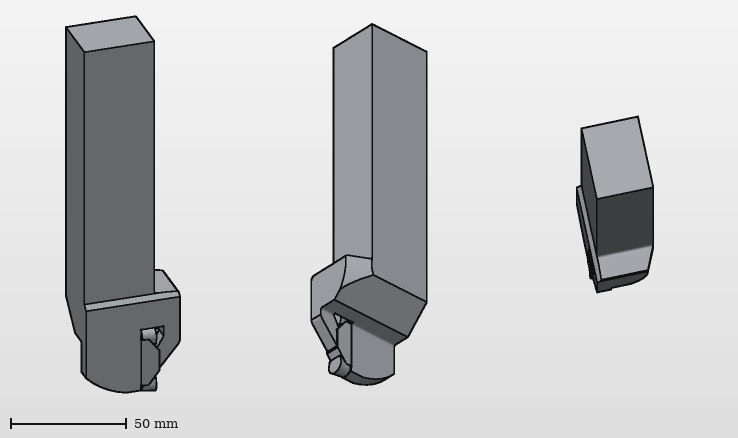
import cadquery as cq
import math


shank_width = 25.0
shank_depth = 32.0
total_height = 170.3

head_depth = 43.0
head_right = 27.2
right_step_z = 45.1
head_top_z = 47.4
head_top_back_z = 47.0
head_top_flat = 2.0
head_bevel_z = 46.5
back_bevel = 0.5
left_bevel = 0.15
root_fillet = 1.0

shoulder_z = 27.2
shoulder_left = 12.2
shoulder_fillet = 1.0

insert_length = 31.4
insert_width = 8.0
insert_center_x = 24.0
body_width = 7.0
seat_y = 25.2
rake_y = shank_depth
body_back_y = 33.5
body_end_z = 4.6
body_end_flat_y = 28.6
body_back_z = 10.9
ear_end_z = 5.2
neck_end_z = 7.4
neck_width = 6.8
relief_angle = 7.0
heel_bevel = 0.6

blade_left = 21.0
blade_bottom_z = 2.3
blade_flat_y = 18.3
blade_arc_mid = (9.1, 5.6)
blade_front_z = 12.4

jaw_tip_z = 11.8
jaw_back_z = 24.0
jaw_bevel_y = 42.4
jaw_bevel_z = 22.5
jaw_overlap = 1.1
jaw_gap_top = (35.5, shoulder_z)

pocket_side_gap = 0.2
pocket_end_gap = 0.5
pocket_left = insert_center_x - insert_width / 2 - pocket_side_gap
pocket_end_z = insert_length + pocket_end_gap

relief_back_x = 4.8
relief_slope = 4.0 / 9.0
relief_tangent_z = 44.0
relief_radius = 26.8
relief_bottom_z = 25.0
relief_reach = 25.0

margin = 5.0


def prism_along_x(profile, x_start, x_end):
    """Extrude a closed YZ profile between two X positions."""
    return profile.extrude(x_end - x_start).translate((x_start, 0, 0))


def make_front_body():
    """Outline of the holder in XZ, extruded over the full head depth."""
    step = head_right - shank_width
    fillet_mid = shoulder_fillet * (1 - math.sqrt(0.5))
    return (
        cq.Workplane("XZ")
        .moveTo(0, total_height)
        .lineTo(0, shoulder_z + shoulder_left)
        .lineTo(shoulder_left, shoulder_z)
        .lineTo(blade_left - shoulder_fillet, shoulder_z)
        .threePointArc(
            (blade_left - fillet_mid, shoulder_z - fillet_mid),
            (blade_left, shoulder_z - shoulder_fillet),
        )
        .lineTo(blade_left, 0)
        .lineTo(head_right, 0)
        .lineTo(head_right, right_step_z)
        .lineTo(shank_width, right_step_z + step)
        .lineTo(shank_width, total_height)
        .close()
        .extrude(-head_depth)
    )


def make_side_body():
    """Outline of the holder in YZ, with the round blade underside."""
    fillet_mid = root_fillet * (1 - math.sqrt(0.5))
    profile = (
        cq.Workplane("YZ")
        .moveTo(0, total_height)
        .lineTo(shank_depth, total_height)
        .lineTo(shank_depth, head_top_z + root_fillet)
        .threePointArc(
            (shank_depth + fillet_mid, head_top_z + fillet_mid),
            (shank_depth + root_fillet, head_top_z),
        )
        .lineTo(shank_depth + head_top_flat, head_top_z)
        .lineTo(head_depth - back_bevel, head_top_back_z)
        .lineTo(head_depth, head_bevel_z)
        .lineTo(head_depth, jaw_back_z)
        .lineTo(jaw_bevel_y, jaw_bevel_z)
        .lineTo(body_back_y, jaw_tip_z)
        .lineTo(seat_y, jaw_tip_z)
        .lineTo(seat_y, blade_bottom_z)
        .lineTo(blade_flat_y, blade_bottom_z)
        .threePointArc(blade_arc_mid, (0, blade_front_z))
        .close()
    )
    return prism_along_x(profile, 0, head_right)


def body_profile_points():
    """Lower half of the insert body in YZ, then its mirror about mid-length."""
    lower = [
        (seat_y, body_end_z),
        (body_end_flat_y, body_end_z),
        (body_back_y, body_back_z),
    ]
    upper = [(y, insert_length - z) for y, z in reversed(lower)]
    return lower + upper


def make_pocket():
    """Space for the insert, with a clear gap behind its upper cutting head."""
    body_slope = (body_back_z - body_end_z) / (body_back_y - body_end_flat_y)
    jaw_apex = (
        body_back_y - jaw_overlap,
        insert_length - body_back_z + jaw_overlap * body_slope,
    )
    outline = [
        (seat_y, jaw_tip_z - margin),
        (body_back_y, jaw_tip_z - margin),
        (body_back_y, insert_length - body_back_z),
        jaw_apex,
        jaw_gap_top,
        (jaw_gap_top[0], pocket_end_z),
        (seat_y, pocket_end_z),
    ]
    profile = cq.Workplane("YZ").polyline(outline).close()
    return prism_along_x(profile, pocket_left, head_right + margin)


def make_left_relief():
    """Slanted cutter: upright at the top, curving inward toward the bottom."""
    def depth_at(z):
        return relief_radius - math.sqrt(relief_radius**2 - (relief_tangent_z - z) ** 2)

    mid_z = (relief_tangent_z + relief_bottom_z) / 2
    outer = -2 * margin
    top_z = head_top_z + 2 * root_fillet
    plane = cq.Plane(
        origin=(relief_back_x + margin * relief_slope, head_depth + margin, 0),
        xDir=(1, -relief_slope, 0),
        normal=(-relief_slope, -1, 0),
    )
    return (
        cq.Workplane(plane)
        .moveTo(outer, top_z)
        .lineTo(left_bevel, top_z)
        .lineTo(left_bevel, head_top_z)
        .lineTo(0, head_bevel_z)
        .lineTo(0, relief_tangent_z)
        .threePointArc(
            (depth_at(mid_z), mid_z),
            (depth_at(relief_bottom_z), relief_bottom_z),
        )
        .lineTo(outer, relief_bottom_z)
        .close()
        .extrude(relief_reach)
    )


def make_holder():
    holder = make_front_body().intersect(make_side_body())
    return holder.cut(make_left_relief()).cut(make_pocket())


def make_cutting_head():
    """Full-radius lower head, tapering from the rake face down to the seat."""
    radius = insert_width / 2
    half_ear = math.sqrt(radius**2 - (ear_end_z - radius) ** 2)
    half_neck = neck_width / 2
    head = (
        cq.Workplane("XZ", origin=(insert_center_x, rake_y, 0))
        .moveTo(-half_ear, ear_end_z)
        .threePointArc((0, 0), (half_ear, ear_end_z))
        .lineTo(half_neck, neck_end_z)
        .lineTo(-half_neck, neck_end_z)
        .close()
        .extrude(rake_y - seat_y, taper=relief_angle)
    )
    return head.faces("<Y").edges("<Z").chamfer(heel_bevel)


def make_insert():
    profile = cq.Workplane("YZ").polyline(body_profile_points()).close()
    body_left = insert_center_x - body_width / 2
    body = prism_along_x(profile, body_left, body_left + body_width)
    lower_head = make_cutting_head()
    upper_head = lower_head.mirror("XY", (0, 0, insert_length / 2))
    return body.union(lower_head).union(upper_head)


holder = make_holder()
insert = make_insert()

result = cq.Compound.makeCompound([holder.solids().val(), insert.solids().val()])